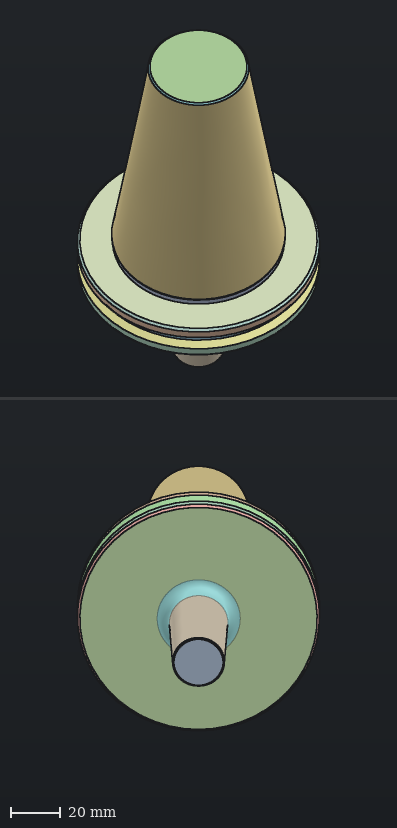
import cadquery as cq
import math

total_height = 170.8

nose_length = 50.0
nose_tip_radius = 10.5
nose_root_radius = 11.8
nose_tip_chamfer = 0.5
nose_fillet = 5.0

flange_diameter = 97.5
flange_radius = flange_diameter / 2
flange_thickness = 15.9
flange_chamfer = 1.0
groove_floor_radius = 45.6
groove_floor_width = 3.5
groove_center_height = 8.0
groove_flank_angle = 28.0

collar_height = 3.2
taper_base_radius = 35.0
collar_relief = 0.3
collar_bevel_height = 0.9
taper_slope = 7 / 48
taper_top_chamfer = 0.7

flange_bottom = nose_length
flange_top = flange_bottom + flange_thickness
taper_bottom = flange_top + collar_height
collar_radius = taper_base_radius - collar_relief
taper_top_radius = taper_base_radius - taper_slope * (total_height - taper_bottom)
chamfer_start_height = total_height - taper_top_chamfer
chamfer_start_radius = taper_top_radius + taper_slope * taper_top_chamfer

groove_depth = flange_radius - groove_floor_radius
groove_floor_half = groove_floor_width / 2
groove_mouth_half = groove_floor_half + groove_depth * math.tan(math.radians(groove_flank_angle))
groove_z = flange_bottom + groove_center_height


def make_body():
    """Nose, flange and taper as one revolved half-profile."""
    fillet_center_radius = nose_root_radius + nose_fillet
    fillet_reach = nose_fillet * math.sqrt(0.5)
    fillet_middle = (
        fillet_center_radius - fillet_reach,
        flange_bottom - nose_fillet + fillet_reach,
    )
    profile = (
        cq.Workplane("XZ")
        .lineTo(nose_tip_radius - nose_tip_chamfer, 0)
        .lineTo(nose_tip_radius, nose_tip_chamfer)
        .lineTo(nose_root_radius, flange_bottom - nose_fillet)
        .threePointArc(fillet_middle, (fillet_center_radius, flange_bottom))
        .lineTo(flange_radius - flange_chamfer, flange_bottom)
        .lineTo(flange_radius, flange_bottom + flange_chamfer)
        .lineTo(flange_radius, flange_top - flange_chamfer)
        .lineTo(flange_radius - flange_chamfer, flange_top)
        .lineTo(collar_radius, flange_top)
        .lineTo(collar_radius, taper_bottom - collar_bevel_height)
        .lineTo(taper_base_radius, taper_bottom)
        .lineTo(chamfer_start_radius, chamfer_start_height)
        .lineTo(taper_top_radius - taper_top_chamfer, total_height)
        .lineTo(0, total_height)
        .close()
    )
    return profile.revolve(360, (0, 0, 0), (0, 1, 0))


def make_rim_groove():
    """Ring that cuts the V-groove into the flange rim."""
    section = cq.Workplane("XZ").polyline([
        (groove_floor_radius, groove_z - groove_floor_half),
        (flange_radius, groove_z - groove_mouth_half),
        (flange_radius, groove_z + groove_mouth_half),
        (groove_floor_radius, groove_z + groove_floor_half),
    ]).close()
    return section.revolve(360, (0, 0, 0), (0, 1, 0))


result = make_body().cut(make_rim_groove())